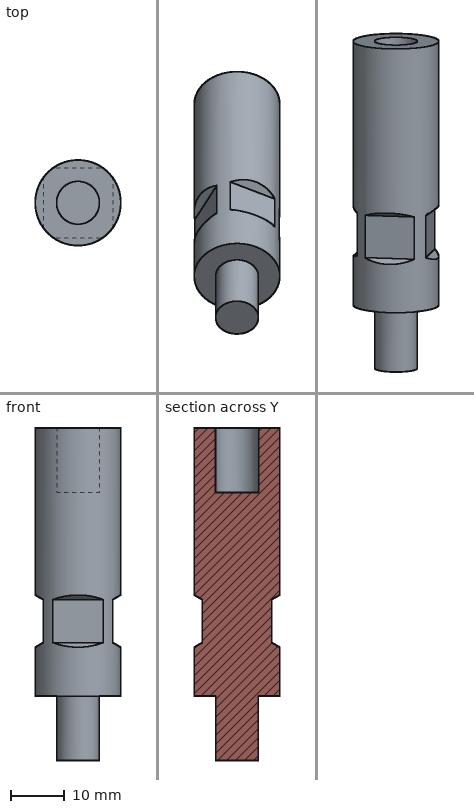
import cadquery as cq
import math

body_diameter = 16.0
total_length = 62.0
pin_diameter = 8.0
pin_length = 12.0
bore_diameter = pin_diameter
bore_depth = pin_length

across_flats = 13.0
flat_bottom = 22.0
flat_length = 8.0
flat_end_angle = 30.0
flat_count = 4

body_radius = body_diameter / 2
flat_distance = across_flats / 2
flat_top = flat_bottom + flat_length


def make_turned_body():
    """Cylindrical body with a pin below it and a blind bore in its top."""
    pin = cq.Workplane("XY").circle(pin_diameter / 2).extrude(pin_length)
    body = (
        cq.Workplane("XY")
        .workplane(offset=pin_length)
        .circle(body_radius)
        .extrude(total_length - pin_length)
    )
    bore = (
        cq.Workplane("XY")
        .workplane(offset=total_length - bore_depth)
        .circle(bore_diameter / 2)
        .extrude(bore_depth)
    )
    return pin.union(body).cut(bore)


def make_flat_cutter():
    """Trapezoidal prism on the +X side that widens outward from the flat."""
    clearance = 1.0
    outer_distance = body_radius + clearance
    end_rise = (outer_distance - flat_distance) * math.tan(math.radians(flat_end_angle))
    return (
        cq.Workplane("XZ")
        .moveTo(flat_distance, flat_bottom)
        .lineTo(outer_distance, flat_bottom - end_rise)
        .lineTo(outer_distance, flat_top + end_rise)
        .lineTo(flat_distance, flat_top)
        .close()
        .extrude(body_radius, both=True)
    )


result = make_turned_body()
flat_cutter = make_flat_cutter()
for index in range(flat_count):
    angle = index * 360.0 / flat_count
    result = result.cut(flat_cutter.rotate((0, 0, 0), (0, 0, 1), angle))